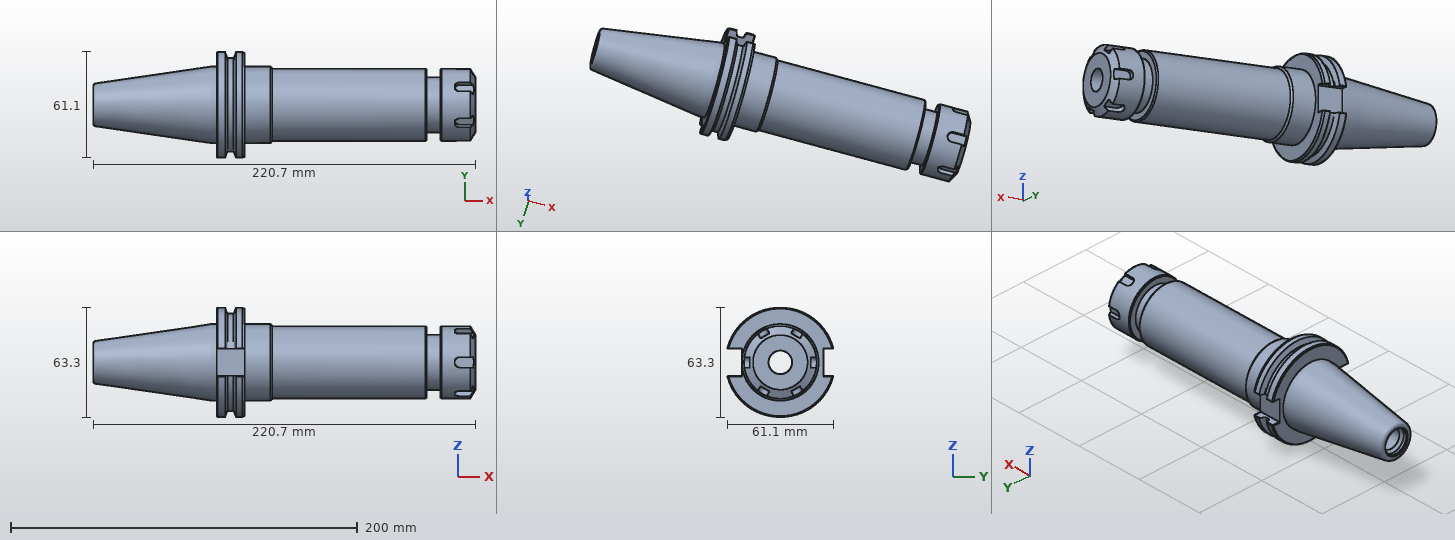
import cadquery as cq

gauge_x = 68.2
flange_start_x = 71.3
flange_end_x = 87.4
collar_end_x = 103.5
body_end_x = 192.6
nut_start_x = 200.4
total_length = 220.7

gauge_dia = 44.4
taper_ratio = 7 / 24
small_end_dia = gauge_dia - gauge_x * taper_ratio
small_end_round = 2.0
body_dia = 42.0
body_chamfer = 0.9
neck_dia = 32.0

flange_dia = 63.3
front_rim_chamfer = 0.7
back_rim_chamfer_length = 1.3
back_rim_chamfer_depth = 0.7

groove_floor_dia = 56.5
groove_floor_width = 3.8
groove_top_width = 6.5
groove_floor_round = 0.5
groove_center_x = (flange_start_x + flange_end_x) / 2

key_width = 15.7
key_chamfer = 0.5
front_key_floor = gauge_dia / 2
back_key_floor = 25.0

bore_dia = 13.5
step_dia = 15.7
mouth_dia = 16.8
mouth_chamfer_dia = 18.0
mouth_end_x = 2.6
bore_start_x = 4.6

nut_dia = 42.0
nut_front_dia = 31.5
nut_front_chamfer_length = 3.0
nut_back_chamfer = 0.7
spigot_end_x = 211.8
wrench_slot_count = 6
wrench_slot_width = 6.0
wrench_slot_start_x = 208.5
wrench_slot_floor = 17.7


def rod(dia, start_x, end_x):
    """Round bar along X."""
    return cq.Workplane("YZ", origin=(start_x, 0, 0)).circle(dia / 2).extrude(end_x - start_x)


def turned(outline):
    """Solid of revolution about X from (x, radius) points."""
    return cq.Workplane("XY").polyline(outline).close().revolve(360, (0, 0, 0), (1, 0, 0))


def make_taper():
    cone = turned([(0, 0), (0, small_end_dia / 2), (gauge_x, gauge_dia / 2), (gauge_x, 0)])
    return cone.faces("<X").edges().fillet(small_end_round)


def gripper_groove():
    """Ring with sloping sides and a rounded floor, cut from the flange rim."""
    half_floor = groove_floor_width / 2
    half_top = groove_top_width / 2
    ring = turned([
        (groove_center_x - half_floor, groove_floor_dia / 2),
        (groove_center_x + half_floor, groove_floor_dia / 2),
        (groove_center_x + half_top, flange_dia / 2),
        (groove_center_x - half_top, flange_dia / 2),
    ])
    floor_edges = ring.edges(cq.selectors.RadiusNthSelector(0))
    return floor_edges.fillet(groove_floor_round)


def key_slot(side, floor):
    """Cutter for one driving slot, flared at its ends and mouth; side is -1 for -Y and +1 for +Y."""
    rim_y = flange_dia / 2
    half = key_width / 2
    flared = half + key_chamfer
    middle_x = (flange_start_x + flange_end_x) / 2
    passage = (
        cq.Workplane("XZ", origin=(middle_x, floor, 0))
        .rect(flange_end_x - flange_start_x, key_width)
        .extrude(floor - rim_y)
    )
    for face_x, inward in ((flange_start_x, 1), (flange_end_x, -1)):
        end_flare = (
            cq.Workplane("XZ", origin=(face_x, floor, 0))
            .polyline([(0, -flared), (0, flared), (inward * key_chamfer, half), (inward * key_chamfer, -half)])
            .close()
            .extrude(floor - rim_y)
        )
        passage = passage.union(end_flare)
    mouth_y = (rim_y**2 - flared**2) ** 0.5
    mouth_flare = (
        cq.Workplane("YZ", origin=(flange_start_x, 0, 0))
        .polyline([
            (mouth_y - key_chamfer, -half),
            (mouth_y - key_chamfer, half),
            (mouth_y, flared),
            (rim_y, flared),
            (rim_y, -flared),
            (mouth_y, -flared),
        ])
        .close()
        .extrude(flange_end_x - flange_start_x)
    )
    slot = passage.union(mouth_flare)
    return slot if side > 0 else slot.mirror("XZ")


def make_flange():
    rim_radius = flange_dia / 2
    flange = turned([
        (flange_start_x, 0),
        (flange_start_x, rim_radius - front_rim_chamfer),
        (flange_start_x + front_rim_chamfer, rim_radius),
        (flange_end_x - back_rim_chamfer_length, rim_radius),
        (flange_end_x, rim_radius - back_rim_chamfer_depth),
        (flange_end_x, 0),
    ])
    flange = flange.cut(gripper_groove())
    return flange.cut(key_slot(-1, front_key_floor)).cut(key_slot(1, back_key_floor))


def make_bore():
    """Bore with a chamfered mouth that narrows to it through two cones."""
    chamfer = (mouth_chamfer_dia - mouth_dia) / 2
    step_x = mouth_end_x + (mouth_dia - step_dia) / 2
    return turned([
        (0, 0),
        (0, mouth_chamfer_dia / 2),
        (chamfer, mouth_dia / 2),
        (mouth_end_x, mouth_dia / 2),
        (step_x, step_dia / 2),
        (bore_start_x, bore_dia / 2),
        (spigot_end_x, bore_dia / 2),
        (spigot_end_x, 0),
    ])


def make_holder():
    collar_chamfer = (gauge_dia - body_dia) / 2
    collar = rod(gauge_dia, gauge_x, collar_end_x).faces(">X").chamfer(collar_chamfer)
    body = rod(body_dia, flange_end_x, body_end_x).faces(">X").chamfer(body_chamfer)
    spigot = rod(neck_dia, flange_end_x, spigot_end_x)
    outside = make_taper().union(collar).union(make_flange()).union(body).union(spigot)
    return outside.cut(make_bore())


def wrench_slot():
    """Round-ended slot cutter on the -Y side of the nut."""
    radius = wrench_slot_width / 2
    arc_center_x = wrench_slot_start_x + radius
    return (
        cq.Workplane("XZ", origin=(0, -wrench_slot_floor, 0))
        .moveTo(total_length, -radius)
        .lineTo(arc_center_x, -radius)
        .threePointArc((wrench_slot_start_x, 0), (arc_center_x, radius))
        .lineTo(total_length, radius)
        .close()
        .extrude(nut_dia / 2)
    )


def make_nut():
    """Nut that screws over the spigot, with wrench slots round its front."""
    nut = turned([
        (nut_start_x, 0),
        (nut_start_x, nut_dia / 2 - nut_back_chamfer),
        (nut_start_x + nut_back_chamfer, nut_dia / 2),
        (total_length - nut_front_chamfer_length, nut_dia / 2),
        (total_length, nut_front_dia / 2),
        (total_length, 0),
    ])
    for index in range(wrench_slot_count):
        angle = index * 360 / wrench_slot_count
        nut = nut.cut(wrench_slot().rotate((0, 0, 0), (1, 0, 0), angle))
    spigot_recess = rod(neck_dia, nut_start_x, spigot_end_x)
    front_opening = rod(bore_dia, spigot_end_x, total_length)
    return nut.cut(spigot_recess).cut(front_opening)


holder = make_holder()
nut = make_nut()
result = cq.Compound.makeCompound([holder.val(), nut.val()])